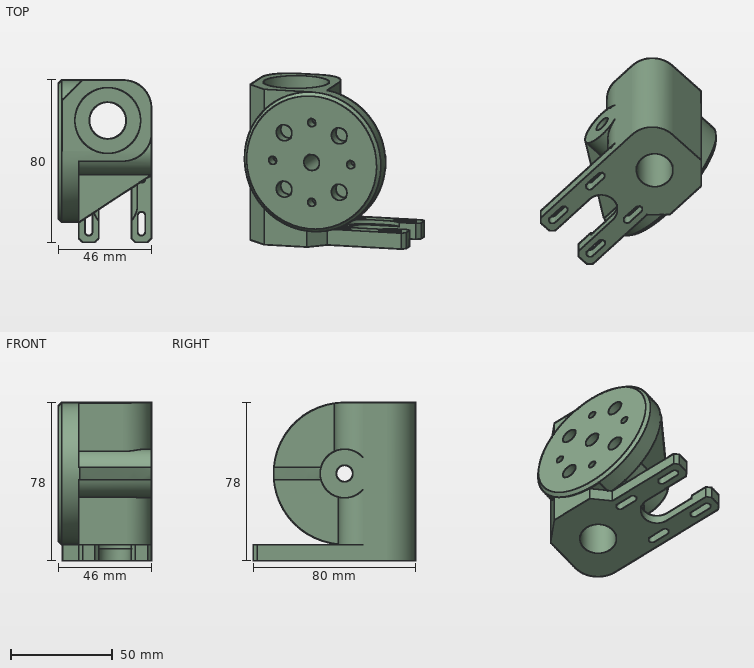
import cadquery as cq

width = 46.0

disk_radius = 35.0
disk_thickness = 10.0
disk_chamfer = 1.67
bolt_circle_radius = 20.0
pivot_bore_diameter = 8.0
screw_hole_diameter = 8.0
pin_hole_diameter = 4.0
disk_hole_depth = 8.0

arm_radius = 12.0
rib_thickness = 6.0
rib_start_x = 10.6

block_start_x = 2.0
block_back_y = disk_radius
block_chamfer = 10.0
upper_front_y = -5.0
upper_radius = 14.0
lower_front_y = -3.0
lower_radius = 12.0

bore_x = 24.4
bore_y = (upper_front_y + block_back_y) / 2
bore_diameter = 18.0
seat_diameter = 32.4
seat_depth = 9.0

plate_thickness = 8.0
plate_top_z = -disk_radius
plate_bottom_z = plate_top_z - plate_thickness
plate_front_y = -45.0
leg_width = 10.0
leg_chamfer = 2.0
leg_start_x = disk_thickness
gusset = leg_start_x - block_start_x
gusset_end_y = -5.0

motor_x = (leg_start_x + width) / 2
motor_y = -22.8
motor_travel = 8.0
motor_bolt_spacing = 26.0
motor_slot_width = 3.6
pilot_diameter = 22.0
pilot_depth = 2.0
leg_gap = width - leg_start_x - 2 * leg_width


def x_cylinder(radius, start_x, end_x):
    """Solid cylinder on the pivot axis."""
    profile = cq.Workplane("XZ").moveTo(start_x, 0).lineTo(start_x, radius)
    profile = profile.lineTo(end_x, radius).lineTo(end_x, 0).close()
    return profile.revolve(360, (0, 0, 0), (1, 0, 0))


def y_slot(x, y, diameter, bottom_z, top_z):
    """Slot cutter whose end centres are one motor travel apart along Y."""
    plane = cq.Workplane("XY", origin=(x, y, bottom_z))
    return plane.slot2D(motor_travel + diameter, diameter, 90).extrude(top_z - bottom_z)


def make_disk():
    """Chamfered disk, thickened behind the axis to close the gap to the block chamfer."""
    thick_x = block_start_x + block_chamfer
    disk = x_cylinder(disk_radius, 0, thick_x).faces("<X").chamfer(disk_chamfer)
    front_relief = cq.Workplane("XY", origin=(disk_thickness, -disk_radius, 0)).box(
        thick_x - disk_thickness, disk_radius, 2 * disk_radius, centered=(False, False, True)
    )
    return disk.cut(front_relief)


def add_back_edge(outline):
    """Continue an outline around the back: rounded right corner, then chamfered left corner."""
    return (
        outline.lineTo(width, block_back_y - upper_radius)
        .radiusArc((width - upper_radius, block_back_y), -upper_radius)
        .lineTo(block_start_x + block_chamfer, block_back_y)
        .lineTo(block_start_x, block_back_y - block_chamfer)
    )


def make_block(front_y, front_radius, bottom_z, top_z):
    """Part of the housing: chamfered at the back left, rounded on its right corners."""
    outline = (
        cq.Workplane("XY", origin=(0, 0, bottom_z))
        .moveTo(block_start_x, front_y)
        .lineTo(width - front_radius, front_y)
        .radiusArc((width, front_y + front_radius), -front_radius)
    )
    return add_back_edge(outline).close().extrude(top_z - bottom_z)


def make_upper_block():
    """Upper part of the housing, trimmed to the disk rim in front of the pivot axis."""
    block = make_block(upper_front_y, upper_radius, 0, disk_radius)
    behind_axis = cq.Workplane("XY").box(
        width, block_back_y, 2 * disk_radius, centered=(False, False, True)
    )
    return block.intersect(x_cylinder(disk_radius, 0, width).union(behind_axis))


def make_rib():
    """Slice of a cone that tapers from the disk rim to the end of the arm."""
    cone = (
        cq.Workplane("XZ")
        .moveTo(disk_thickness, 0)
        .lineTo(disk_thickness, disk_radius)
        .lineTo(rib_start_x, disk_radius)
        .lineTo(width, arm_radius)
        .lineTo(width, 0)
        .close()
        .revolve(360, (0, 0, 0), (1, 0, 0))
    )
    slab = cq.Workplane("XY", origin=(0, -disk_radius, 0)).box(
        width, disk_radius, rib_thickness, centered=(False, False, True)
    )
    return cone.intersect(slab)


def make_plate():
    """Plate under the block, with a gusset corner and a round-ended gap between the legs."""
    outline = (
        cq.Workplane("XY", origin=(0, 0, plate_bottom_z))
        .moveTo(leg_start_x, plate_front_y)
        .lineTo(width, plate_front_y)
    )
    outline = add_back_edge(outline).lineTo(block_start_x, gusset_end_y + gusset)
    outline = outline.lineTo(leg_start_x, gusset_end_y)
    plate = outline.close().extrude(plate_thickness)
    gap_end_y = motor_y + motor_travel / 2
    gap_end = (
        cq.Workplane("XY", origin=(motor_x, gap_end_y, plate_bottom_z))
        .circle(leg_gap / 2)
        .extrude(plate_thickness)
    )
    gap = cq.Workplane("XY", origin=(motor_x, plate_front_y, plate_bottom_z)).box(
        leg_gap, gap_end_y - plate_front_y, plate_thickness, centered=(True, False, False)
    )
    plate = plate.cut(gap).cut(gap_end)
    return plate.edges("|Z").edges("<Y").chamfer(leg_chamfer)


def motor_openings():
    """Pilot recess in the top of the plate and four screw slots through it."""
    openings = y_slot(motor_x, motor_y, pilot_diameter, plate_top_z - pilot_depth, plate_top_z)
    for side_x in (-1, 1):
        for side_y in (-1, 1):
            x = motor_x + side_x * motor_bolt_spacing / 2
            y = motor_y + side_y * motor_bolt_spacing / 2
            openings = openings.union(y_slot(x, y, motor_slot_width, plate_bottom_z, plate_top_z))
    return openings


def hole_ring(start_angle, diameter):
    """Four equally spaced hole cutters on the bolt circle of the disk face."""
    centers = cq.Workplane("YZ").polarArray(bolt_circle_radius, start_angle, 360, 4)
    return centers.circle(diameter / 2).extrude(disk_hole_depth)


def disk_holes():
    """Through bore on the pivot axis, with blind screw and pin holes around it."""
    bore = x_cylinder(pivot_bore_diameter / 2, 0, width)
    screws = hole_ring(45, screw_hole_diameter)
    pins = hole_ring(0, pin_hole_diameter)
    return bore.union(screws).union(pins)


def vertical_bore():
    """Seat at the top of the housing above a smaller bore through to the underside."""

    def cutter(diameter, depth):
        top = cq.Workplane("XY", origin=(bore_x, bore_y, disk_radius))
        return top.circle(diameter / 2).extrude(-depth)

    return cutter(seat_diameter, seat_depth).union(cutter(bore_diameter, disk_radius - plate_bottom_z))


lower_block = make_block(lower_front_y, lower_radius, plate_top_z, 0)

result = (
    make_plate()
    .cut(motor_openings())
    .union(lower_block)
    .union(make_upper_block())
    .union(make_disk())
    .union(x_cylinder(arm_radius, disk_thickness, width))
    .union(make_rib())
    .cut(disk_holes())
    .cut(vertical_bore())
)